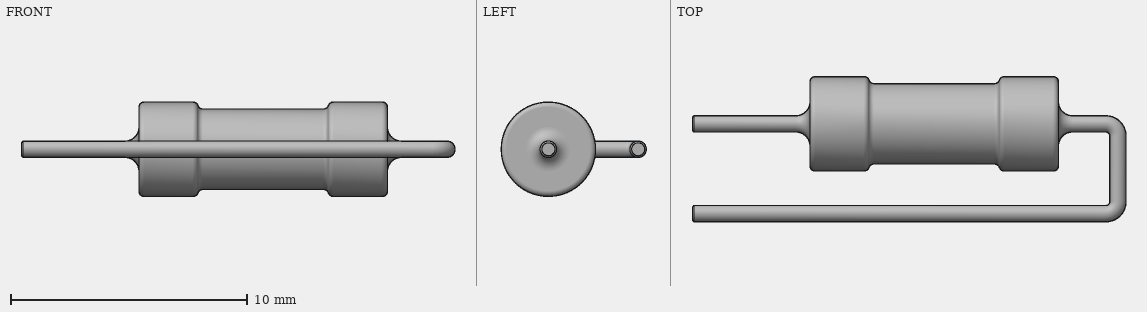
import cadquery as cq
import math

overall_length = 18.35
lead_radius = 0.35
lead_spacing = 3.8
bend_radius = 0.51
tip_chamfer = 0.07

body_start = 4.97
body_length = 10.51
cap_length = 2.51
cap_radius = 2.0
cap_edge_radius = 0.22
barrel_radius = 1.7
shoulder_radius = 0.22
flare_radius = 0.59

body_center = body_start + body_length / 2
return_x = overall_length - lead_radius
bend_start = return_x - bend_radius


def half_body():
    """Revolve one end of the body, from its outer flare to the middle of the barrel."""
    diagonal = math.sqrt(0.5)
    flare_start = body_start - flare_radius
    flare_edge = lead_radius + flare_radius
    shoulder_start = body_start + cap_length - shoulder_radius

    arc_drop = (cap_radius - barrel_radius) / 2
    arc_angle = math.acos(1 - arc_drop / shoulder_radius)
    arc_run = shoulder_radius * math.sin(arc_angle)
    half_drop = shoulder_radius * (1 - math.cos(arc_angle / 2))
    half_run = shoulder_radius * math.sin(arc_angle / 2)
    shoulder_end = shoulder_start + 2 * arc_run

    edge_offset = cap_edge_radius * (1 - diagonal)
    profile = (
        cq.Workplane("XY")
        .moveTo(flare_start, 0)
        .lineTo(flare_start, lead_radius)
        .threePointArc(
            (flare_start + flare_radius * diagonal, flare_edge - flare_radius * diagonal),
            (body_start, flare_edge),
        )
        .lineTo(body_start, cap_radius - cap_edge_radius)
        .threePointArc(
            (body_start + edge_offset, cap_radius - edge_offset),
            (body_start + cap_edge_radius, cap_radius),
        )
        .lineTo(shoulder_start, cap_radius)
        .threePointArc(
            (shoulder_start + half_run, cap_radius - half_drop),
            (shoulder_start + arc_run, cap_radius - arc_drop),
        )
        .threePointArc(
            (shoulder_end - half_run, barrel_radius + half_drop),
            (shoulder_end, barrel_radius),
        )
        .lineTo(body_center, barrel_radius)
        .lineTo(body_center, 0)
        .close()
    )
    return profile.revolve(360, (0, 0, 0), (1, 0, 0))


def bent_lead():
    """Sweep the round wire along the body axis, across, and back to X = 0."""
    diagonal_inset = bend_radius * (1 - math.sqrt(0.5))
    path = (
        cq.Workplane("XY")
        .lineTo(bend_start, 0)
        .threePointArc((return_x - diagonal_inset, -diagonal_inset), (return_x, -bend_radius))
        .lineTo(return_x, bend_radius - lead_spacing)
        .threePointArc(
            (return_x - diagonal_inset, diagonal_inset - lead_spacing),
            (bend_start, -lead_spacing),
        )
        .lineTo(0, -lead_spacing)
    )
    wire = cq.Workplane("YZ").circle(lead_radius).sweep(path)
    return wire.faces("<X").chamfer(tip_chamfer)


left_half = half_body()
right_half = left_half.mirror("YZ", (body_center, 0, 0))
result = bent_lead().union(left_half).union(right_half).clean()